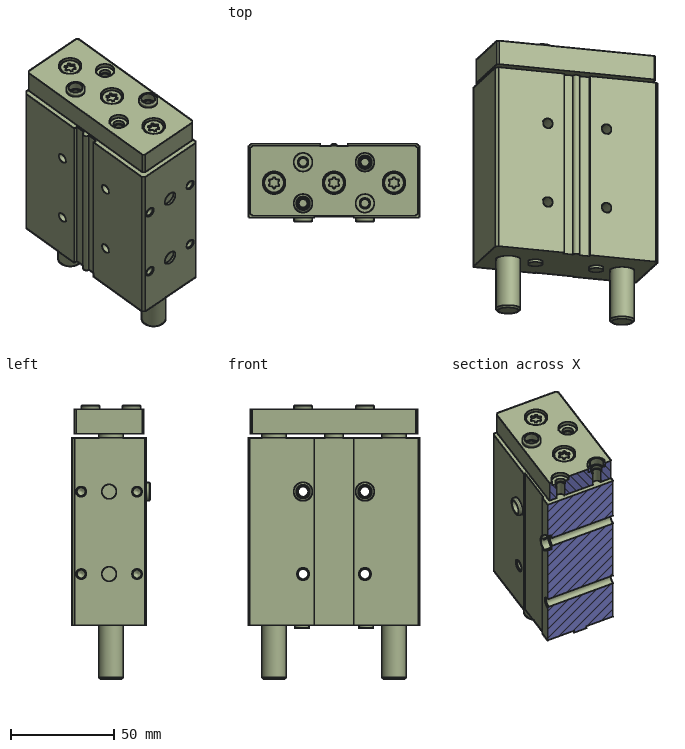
import cadquery as cq
import math


housing_width = 83.0
housing_depth = 36.0
housing_height = 91.0
housing_base = 26.0
housing_top = housing_base + housing_height
front_face = -housing_depth / 2
back_face = housing_depth / 2
side_face = -housing_width / 2
front_corner_chamfer = 0.7
back_corner_chamfer = 1.3

front_recess_width = 19.0
front_recess_depth = 0.7
back_channel_width = 13.3
back_rib_radius = 1.7

mount_x = 15.0
mount_rows = [housing_base + 25.0, housing_base + 65.0]
mount_hole_diameter = 4.9
mount_hole_chamfer = 0.5

side_hole_y = 13.5
side_hole_diameter = 4.1
side_hole_chamfer = 0.4
side_hole_depth = 8.0
drill_point_angle = 118

port_diameter = 7.0
port_depth = 1.3
stud_x = 15.5
stud_height = 1.3

yoke_gap = 2.0
yoke_width = 81.0
yoke_depth = 33.9
yoke_thickness = 12.0
yoke_corner_chamfer = 0.9
yoke_base = housing_top + yoke_gap
yoke_top = yoke_base + yoke_thickness

rod_y = -0.9
guide_rod_x = 29.1
guide_rod_diameter = 12.0
guide_rod_chamfer = 0.9
piston_rod_diameter = 9.0
piston_rod_insertion = housing_height / 2

yoke_hole_spread = 10.0
yoke_hole_diameter = 4.1
yoke_step_diameter = 5.2
yoke_step_depth = 2.0

screw_pocket_diameter = 11.0
screw_pocket_depth = 6.0
screw_head_diameter = 10.0
screw_head_sink = 0.9
screw_head_chamfer = 0.3
socket_tip_radius = 2.8
socket_valley_radius = 2.0
socket_lobe_half_angle = 9
socket_lobes = 6
socket_depth = 1.3

sleeve_diameter = 9.0
sleeve_bore = 6.6
sleeve_rounding = 0.8
sleeve_protrusion = 1.9
sleeve_seat_depth = 2.1

plain_mount_points = [(x, mount_rows[0]) for x in (-mount_x, mount_x)]
front_sleeve_points = [(x, mount_rows[1]) for x in (-mount_x, mount_x)]
yoke_hole_points = [
    (x, rod_y + y) for x in (-mount_x, mount_x) for y in (-yoke_hole_spread, yoke_hole_spread)
]
yoke_sleeve_points = [(-mount_x, rod_y - yoke_hole_spread), (mount_x, rod_y + yoke_hole_spread)]
guide_rod_points = [(x, rod_y) for x in (-guide_rod_x, guide_rod_x)]
piston_point = (0, rod_y)
screw_points = guide_rod_points + [piston_point]

UP = (0, 0, 1)
FORWARD = (0, -1, 0)
INTO_SIDE = (1, 0, 0)
INTO_FRONT = (0, 1, 0)
DOWN = (0, 0, -1)


def cylinder(diameter, length, start, direction):
    """Round bar of the given length, from the start point along the direction."""
    solid = cq.Solid.makeCylinder(diameter / 2, length, cq.Vector(*start), cq.Vector(*direction))
    return cq.Workplane(obj=solid)


def cone(start_diameter, end_diameter, length, start, direction):
    """Taper from one diameter to another, from the start point along the direction."""
    solid = cq.Solid.makeCone(
        start_diameter / 2, end_diameter / 2, length, cq.Vector(*start), cq.Vector(*direction)
    )
    return cq.Workplane(obj=solid)


def chamfered_hole(diameter, chamfer, depth, start, direction):
    """Cutter for a round hole with a 45 degree chamfer at its mouth."""
    mouth = cone(diameter + 2 * chamfer, diameter, chamfer, start, direction)
    return cylinder(diameter, depth, start, direction).union(mouth)


def make_housing_block():
    block = cq.Workplane("XY").workplane(offset=housing_base).rect(housing_width, housing_depth)
    block = block.extrude(housing_height)
    block = block.edges("|Z and <Y").chamfer(front_corner_chamfer)
    block = block.edges("|Z and >Y").chamfer(back_corner_chamfer)

    recess = cq.Workplane("XY").workplane(offset=housing_base).center(0, front_face)
    recess = recess.rect(front_recess_width, 2 * front_recess_depth).extrude(housing_height)

    channel_floor = back_face - back_rib_radius
    channel = cq.Workplane("XY").workplane(offset=housing_base).center(0, back_face)
    channel = channel.rect(back_channel_width, 2 * back_rib_radius).extrude(housing_height)
    rib = cylinder(2 * back_rib_radius, housing_height, (0, channel_floor, housing_base), UP)
    return block.cut(recess).cut(channel).union(rib)


def make_mounting_hole(start):
    return chamfered_hole(mount_hole_diameter, mount_hole_chamfer, housing_depth, start, INTO_FRONT)


def cut_mounting_holes(body):
    """Through holes along Y: the lower row is plain, the upper row starts from a sleeve seat."""
    for x, z in plain_mount_points:
        body = body.cut(make_mounting_hole((x, front_face, z)))
    for x, z in front_sleeve_points:
        seat = cylinder(sleeve_diameter, sleeve_seat_depth, (x, front_face, z), INTO_FRONT)
        seat_floor = (x, front_face + sleeve_seat_depth, z)
        body = body.cut(seat).cut(make_mounting_hole(seat_floor))
    return body


def cut_side_features(body):
    point_height = side_hole_diameter / 2 / math.tan(math.radians(drill_point_angle / 2))
    for z in mount_rows:
        body = body.cut(cylinder(port_diameter, port_depth, (side_face, 0, z), INTO_SIDE))
        for y in (-side_hole_y, side_hole_y):
            start = (side_face, y, z)
            bottom = (side_face + side_hole_depth, y, z)
            hole = chamfered_hole(
                side_hole_diameter, side_hole_chamfer, side_hole_depth, start, INTO_SIDE
            )
            drill_point = cone(side_hole_diameter, 0, point_height, bottom, INTO_SIDE)
            body = body.cut(hole.union(drill_point))
    return body


def make_housing():
    body = cut_side_features(cut_mounting_holes(make_housing_block()))
    for x in (-stud_x, stud_x):
        body = body.union(cylinder(port_diameter, stud_height, (x, 0, housing_base), DOWN))
    for x, y in guide_rod_points:
        body = body.cut(cylinder(guide_rod_diameter, housing_height, (x, y, housing_base), UP))
    return body.cut(cylinder(piston_rod_diameter, piston_rod_insertion, (*piston_point, housing_top), DOWN))


def make_yoke():
    """Plate with its two guide rods, the screw pockets and the stepped holes with sleeve seats."""
    plate = cq.Workplane("XY").workplane(offset=yoke_base).rect(yoke_width, yoke_depth)
    plate = plate.extrude(yoke_thickness).edges("|Z").chamfer(yoke_corner_chamfer)

    seat_floor = yoke_top - sleeve_seat_depth
    for x, y in yoke_hole_points:
        seat = cylinder(sleeve_diameter, sleeve_seat_depth, (x, y, yoke_top), DOWN)
        step = cylinder(yoke_step_diameter, yoke_step_depth, (x, y, seat_floor), DOWN)
        hole = cylinder(yoke_hole_diameter, yoke_thickness, (x, y, yoke_top), DOWN)
        plate = plate.cut(seat).cut(step).cut(hole)

    for x, y in screw_points:
        plate = plate.cut(cylinder(screw_pocket_diameter, screw_pocket_depth, (x, y, yoke_top), DOWN))

    for x, y in guide_rod_points:
        rod = cylinder(guide_rod_diameter, yoke_base, (x, y, 0), UP)
        plate = plate.union(rod.faces("<Z").chamfer(guide_rod_chamfer))
    return plate


def make_piston_rod():
    """Rod that stands in the housing and meets the underside of the yoke plate."""
    return cylinder(piston_rod_diameter, piston_rod_insertion + yoke_gap, (*piston_point, yoke_base), DOWN)


def polar(radius, degrees):
    angle = math.radians(degrees)
    return (radius * math.cos(angle), radius * math.sin(angle))


def make_star_socket():
    """Six-lobed star prism standing on the XY plane, one lobe toward +Y."""
    pitch = 360 / socket_lobes
    outline = cq.Workplane("XY").moveTo(*polar(socket_tip_radius, 90 - socket_lobe_half_angle))
    for lobe in range(socket_lobes):
        middle = 90 + lobe * pitch
        outline = outline.threePointArc(
            polar(socket_tip_radius, middle), polar(socket_tip_radius, middle + socket_lobe_half_angle)
        )
        outline = outline.threePointArc(
            polar(socket_valley_radius, middle + pitch / 2),
            polar(socket_tip_radius, middle + pitch - socket_lobe_half_angle),
        )
    return outline.close().extrude(socket_depth)


def make_screw(x, y):
    """Screw head standing on the floor of its pocket, with a star socket in its top."""
    height = screw_pocket_depth - screw_head_sink
    base = yoke_top - screw_pocket_depth
    head = cylinder(screw_head_diameter, height, (x, y, base), UP).faces(">Z").chamfer(screw_head_chamfer)
    return head.cut(make_star_socket().translate((x, y, base + height - socket_depth)))


def make_sleeve(seat_start, direction):
    """Ring that fills its seat and stands out of it, starting at the floor of the seat."""
    length = sleeve_seat_depth + sleeve_protrusion
    ring = cylinder(sleeve_diameter, length, seat_start, direction)
    ring = ring.cut(cylinder(sleeve_bore, length, seat_start, direction))
    outer_end = ">Z" if direction == UP else "<Y"
    return ring.faces(outer_end).edges(cq.selectors.RadiusNthSelector(-1)).fillet(sleeve_rounding)


housing = make_housing()
yoke = make_yoke()
piston_rod = make_piston_rod()
screws = [make_screw(x, y) for x, y in screw_points]
yoke_sleeves = [make_sleeve((x, y, yoke_top - sleeve_seat_depth), UP) for x, y in yoke_sleeve_points]
front_sleeves = [
    make_sleeve((x, front_face + sleeve_seat_depth, z), FORWARD) for x, z in front_sleeve_points
]

bodies = [housing, yoke, piston_rod, *screws, *yoke_sleeves, *front_sleeves]
result = cq.Compound.makeCompound([body.val() for body in bodies])